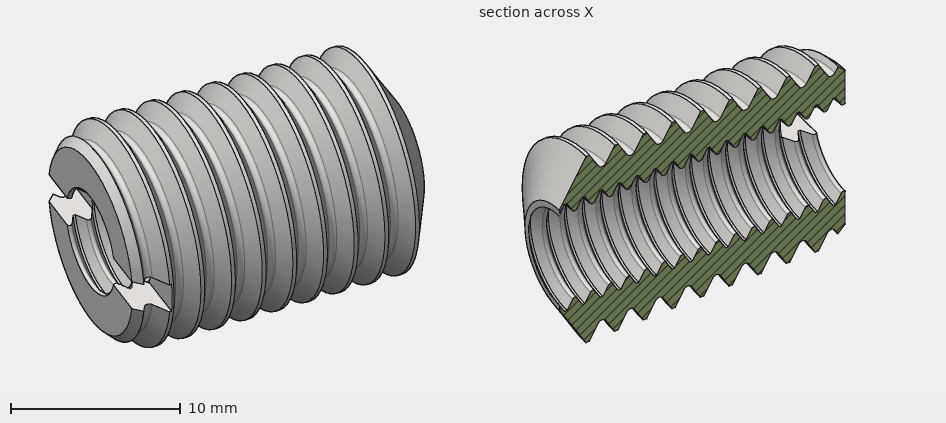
import cadquery as cq
import math

length = 20.0

outer_radius = 7.0
outer_pitch = 2.0
outer_grooves = 9
outer_first_crest = 0.0

inner_radius = 4.0
inner_grooves = 16
inner_pitch = length / inner_grooves
inner_first_crest = -inner_pitch * 3 / 8

slot_width = 2.0
slot_depth = 2.0

flank_slope = math.tan(math.radians(60))
crest_flat_share = 1 / 8
root_width_share = 1 / 4
root_depth_share = 17 / 24


def thread_root_radius(crest_radius, pitch):
    """Smallest radius of the thread, at the bottom of the rounded root."""
    sharp_height = pitch / 2 * flank_slope
    return crest_radius - root_depth_share * sharp_height


def revolve_around_y(profile):
    return profile.close().revolve(360, (0, 0), (0, 1))


def ridged_rod(crest_radius, pitch, first_crest, grooves):
    """Rod with ring grooves, whose last flank runs on as a cone to the far end."""
    crest_half_width = crest_flat_share * pitch / 2
    root_half_width = root_width_share * pitch / 2
    flank_width = pitch / 2 - crest_half_width - root_half_width
    flank_foot_radius = crest_radius - flank_width * flank_slope
    root_radius = thread_root_radius(crest_radius, pitch)

    profile = cq.Workplane("XY").moveTo(0, first_crest).lineTo(crest_radius, first_crest)
    for index in range(grooves):
        crest = first_crest + index * pitch
        root = crest + pitch / 2
        next_crest = crest + pitch
        profile = (
            profile.lineTo(crest_radius, crest + crest_half_width)
            .lineTo(flank_foot_radius, root - root_half_width)
            .threePointArc((root_radius, root), (flank_foot_radius, root + root_half_width))
            .lineTo(crest_radius, next_crest - crest_half_width)
        )
    cone_start = first_crest + grooves * pitch + crest_half_width
    end_radius = crest_radius - (length - cone_start) * flank_slope
    profile = (
        profile.lineTo(crest_radius, cone_start)
        .lineTo(end_radius, length)
        .lineTo(0, length)
    )
    return revolve_around_y(profile)


def lead_chamfer_envelope():
    """45 degree cone that opens from the outer root radius at the slotted face."""
    face_radius = thread_root_radius(outer_radius, outer_pitch)
    corners = [(0, 0), (face_radius, 0), (face_radius + length, length), (0, length)]
    return revolve_around_y(cq.Workplane("XY").polyline(corners))


def driver_slot():
    """Slot along X, open at the slotted face and on both sides."""
    slot_length = 2 * outer_radius
    return cq.Workplane("XY").box(slot_length, 2 * slot_depth, slot_width)


body = ridged_rod(outer_radius, outer_pitch, outer_first_crest, outer_grooves)
body = body.intersect(lead_chamfer_envelope())
bore = ridged_rod(inner_radius, inner_pitch, inner_first_crest, inner_grooves)

result = body.cut(bore).cut(driver_slot())